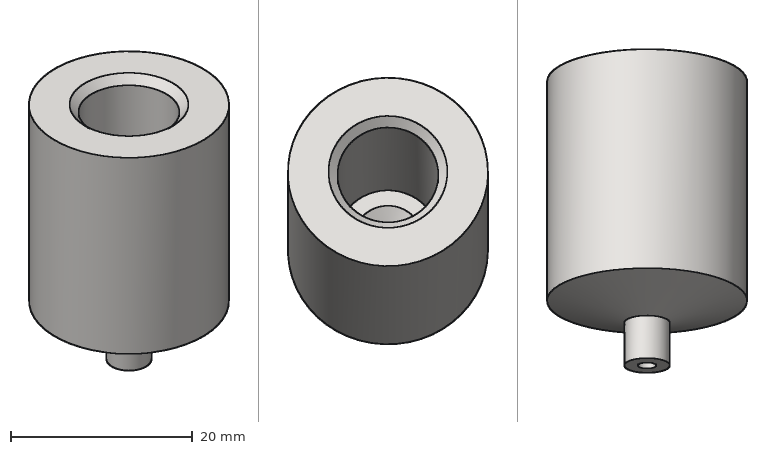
import cadquery as cq
import math

total_height = 33.0
body_diameter = 22.0
stem_diameter = 5.0
stem_length = 4.95
taper_height = 2.57

bore_diameter = 11.1
bore_depth = 21.45
bore_chamfer = 1.0
funnel_diameter = 7.5
outlet_diameter = 2.0
funnel_slope = 30

body_radius = body_diameter / 2
stem_radius = stem_diameter / 2
bore_radius = bore_diameter / 2
funnel_radius = funnel_diameter / 2
outlet_radius = outlet_diameter / 2
body_bottom = stem_length + taper_height
bore_floor = total_height - bore_depth
funnel_depth = (funnel_radius - outlet_radius) * math.tan(math.radians(funnel_slope))
funnel_bottom = bore_floor - funnel_depth

half_section = [
    (outlet_radius, 0),
    (stem_radius, 0),
    (stem_radius, stem_length),
    (body_radius, body_bottom),
    (body_radius, total_height),
    (bore_radius + bore_chamfer, total_height),
    (bore_radius, total_height - bore_chamfer),
    (bore_radius, bore_floor),
    (funnel_radius, bore_floor),
    (outlet_radius, funnel_bottom),
]

result = (
    cq.Workplane("XZ")
    .polyline(half_section)
    .close()
    .revolve(360, (0, 0, 0), (0, 1, 0))
)